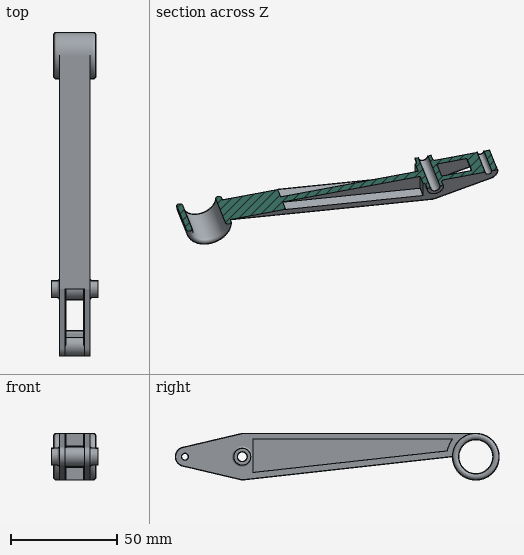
import cadquery as cq
import math

RING_OUTER_RADIUS = 11.0
RING_WALL = 3.0
RING_LENGTH = 20.0

ARM_WIDTH = 14.5
PIVOT_DISTANCE = 110.0
TIP_DISTANCE = 137.0
TIP_RADIUS = 4.54
ROLLER_RADIUS = 4.5
TIP_HOLE_DIAMETER = 3.1

RIM = 2.75
FLOOR_RIM = 3.0
WEB_THICKNESS = 4.0
POCKET_END_DISTANCE = 105.0

SLOT_WIDTH = 8.3
SLOT_CHAMFER = 0.5
TAB_RADIUS = 1.5
TAB_OFFSET = 6.0

BOSS_SPAN = 22.0
BOSS_DIAMETER = 8.0
BOSS_FILLET = 1.0
PIVOT_HOLE_DIAMETER = 4.5
HUB_RADIUS = 5.0

SELECTION_MARGIN = 0.01

FULL_TURN = 360.0

HALF_HEIGHT = RING_OUTER_RADIUS
HALF_WIDTH = ARM_WIDTH / 2
PIVOT_Y = -PIVOT_DISTANCE
TIP_Y = -TIP_DISTANCE
UNDERSIDE_ANGLE = math.atan2(HALF_HEIGHT, PIVOT_DISTANCE - RING_OUTER_RADIUS)


def cylinder_x(radius, length, y=0.0):
    """Cylinder along X, centred on X = 0."""
    return cq.Workplane("YZ").center(y, 0).circle(radius).extrude(length / 2, both=True)


def taper_tangent_point():
    """Upper point (Y, Z) where the straight taper from the pivot touches the tip arc."""
    run = TIP_DISTANCE - PIVOT_DISTANCE
    to_corner = math.atan2(HALF_HEIGHT, run)
    angle = to_corner + math.acos(TIP_RADIUS / math.hypot(run, HALF_HEIGHT))
    return TIP_Y + TIP_RADIUS * math.cos(angle), TIP_RADIUS * math.sin(angle)


def make_arm():
    """Solid arm: level top, sloping underside and a straight taper to the rounded tip."""
    tangent_y, tangent_z = taper_tangent_point()
    return (
        cq.Workplane("YZ")
        .moveTo(0, HALF_HEIGHT)
        .lineTo(PIVOT_Y, HALF_HEIGHT)
        .lineTo(tangent_y, tangent_z)
        .threePointArc((TIP_Y - TIP_RADIUS, 0), (tangent_y, -tangent_z))
        .lineTo(PIVOT_Y, -HALF_HEIGHT)
        .lineTo(-RING_OUTER_RADIUS, 0)
        .lineTo(0, 0)
        .close()
        .extrude(HALF_WIDTH, both=True)
    )


def make_pockets():
    """Two mirrored pockets, inset from the top, the underside and the ring."""
    top_z = HALF_HEIGHT - RIM

    def floor_z(y):
        underside_z = (y + RING_OUTER_RADIUS) * math.tan(UNDERSIDE_ANGLE)
        return underside_z + FLOOR_RIM / math.cos(UNDERSIDE_ANGLE)

    depth = (ARM_WIDTH - WEB_THICKNESS) / 2
    blank = (
        cq.Workplane("YZ")
        .workplane(offset=-HALF_WIDTH)
        .moveTo(0, top_z)
        .lineTo(-POCKET_END_DISTANCE, top_z)
        .lineTo(-POCKET_END_DISTANCE, floor_z(-POCKET_END_DISTANCE))
        .lineTo(0, floor_z(0))
        .close()
        .extrude(depth)
    )
    pocket = blank.cut(cylinder_x(RING_OUTER_RADIUS + RIM, ARM_WIDTH))
    return pocket.union(pocket.mirror("YZ"))


def cut_slot(blank):
    """Open the fork between the cheeks and chamfer the inner edges of the cheeks."""
    length = TIP_DISTANCE + TIP_RADIUS - PIVOT_DISTANCE
    slot = cq.Workplane("XY").box(SLOT_WIDTH, length, 2 * HALF_HEIGHT)
    forked = blank.cut(slot.translate((0, PIVOT_Y - length / 2, 0)))
    half_slot = SLOT_WIDTH / 2
    edges = cq.selectors.BoxSelector(
        (-half_slot - SELECTION_MARGIN, TIP_Y - 2 * TIP_RADIUS, -2 * HALF_HEIGHT),
        (half_slot + SELECTION_MARGIN, PIVOT_Y - SELECTION_MARGIN, 2 * HALF_HEIGHT),
    )
    return forked.edges(edges).chamfer(SLOT_CHAMFER)


def make_tip_roller():
    """Cross bar between the cheeks, just inside the tip arc, with a rounded tab behind it."""
    roller = cylinder_x(ROLLER_RADIUS, SLOT_WIDTH + 2 * SLOT_CHAMFER, TIP_Y)
    tab_end = cylinder_x(TAB_RADIUS, SLOT_WIDTH, TIP_Y + TAB_OFFSET)
    tab = cq.Workplane("XY").box(SLOT_WIDTH, TAB_OFFSET, 2 * TAB_RADIUS)
    return roller.union(tab.translate((0, TIP_Y + TAB_OFFSET / 2, 0))).union(tab_end)


def make_pivot():
    """Hub inside the fork and round bosses that flare into the cheeks."""
    boss_radius = BOSS_DIAMETER / 2
    flare_radius = boss_radius + BOSS_FILLET
    flare_x = HALF_WIDTH + BOSS_FILLET
    bulge = BOSS_FILLET * (1 - math.cos(math.pi / 4))
    boss = (
        cq.Workplane("XY")
        .lineTo(BOSS_SPAN / 2, 0)
        .lineTo(BOSS_SPAN / 2, boss_radius)
        .lineTo(flare_x, boss_radius)
        .threePointArc((HALF_WIDTH + bulge, boss_radius + bulge), (HALF_WIDTH, flare_radius))
        .lineTo(0, flare_radius)
        .close()
        .revolve(FULL_TURN, (0, 0, 0), (1, 0, 0))
        .translate((0, PIVOT_Y, 0))
    )
    return cylinder_x(HUB_RADIUS, SLOT_WIDTH, PIVOT_Y).union(boss).union(boss.mirror("YZ"))


def make_ring():
    """Ring whose two ends are fully rounded."""
    inner_radius = RING_OUTER_RADIUS - RING_WALL
    middle_radius = RING_OUTER_RADIUS - RING_WALL / 2
    half_length = RING_LENGTH / 2
    straight = half_length - RING_WALL / 2
    return (
        cq.Workplane("XZ")
        .moveTo(-straight, inner_radius)
        .lineTo(straight, inner_radius)
        .threePointArc((half_length, middle_radius), (straight, RING_OUTER_RADIUS))
        .lineTo(-straight, RING_OUTER_RADIUS)
        .threePointArc((-half_length, middle_radius), (-straight, inner_radius))
        .close()
        .revolve(FULL_TURN, (0, 0, 0), (1, 0, 0))
    )


arm = cut_slot(make_arm().cut(make_pockets()))
arm = arm.cut(cylinder_x(RING_OUTER_RADIUS - RING_WALL, RING_LENGTH))
body = arm.union(make_ring()).union(make_tip_roller()).union(make_pivot())
pivot_hole = cylinder_x(PIVOT_HOLE_DIAMETER / 2, BOSS_SPAN, PIVOT_Y)
tip_hole = cylinder_x(TIP_HOLE_DIAMETER / 2, ARM_WIDTH, TIP_Y)
result = body.cut(pivot_hole).cut(tip_hole)